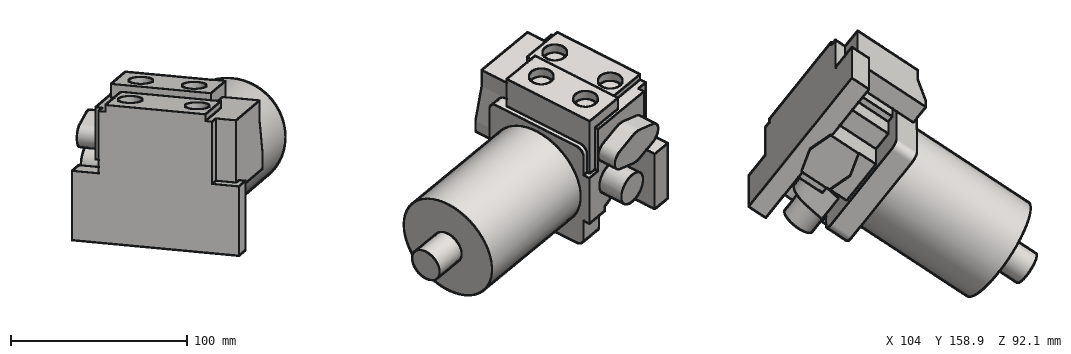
import cadquery as cq
import math


motor_radius = 32.0
motor_length = 81.5
shaft_radius = 10.0
shaft_length = 20.2

flange_half_width = 34.0
flange_half_height = 36.0
flange_thickness = 14.3
flange_corner_radius = 5.1

front_y = -57.2
plate_width = 100.0
plate_thickness = 12.1
plate_bottom = -30.0
plate_shoulder = 11.1

block_left = -38.2
block_right = 46.1
block_rear = -8.1
block_front = -50.4
block_bottom = 17.0
block_top = 48.0
right_block_bottom = 6.0

wedge_rear = -2.4
wedge_top = 36.0
wedge_shoulder = 14.0

rear_pad_left = -36.0
pad_width = 60.0
rear_pad_rear = -3.2
pad_split = -29.3
rear_pad_bottom = 5.0
rear_pad_top = 56.1
front_pad_top = 52.0

port_radius = 7.0
port_depth = 6.0
rear_port_spacing = 32.0
rear_port_y = -17.2
front_port_spacing = 40.0
front_port_y = -42.3

core_steps = [
    (30.0, 6.0, block_bottom),
    (26.0, -9.9, 6.0),
    (14.2, plate_bottom, -9.9),
]

foot_y = -36.3
foot_half_width = 14.2
foot_half_length = 14.2
foot_shoulder = 9.9
foot_drop = 1.0

lobe_y = -19.2
lobe_z = 5.0
lobe_radius = 15.0
lobe_inner_x = -22.0
lobe_foot_bottom = -17.0
lobe_corner_z = -13.7
pin_radius = 10.0
pin_end_x = -54.0

cover_y = -28.3
cover_z = 28.0
cover_middle_radius = 11.0
cover_end_radius = 7.0
cover_end_offset = 13.0
cover_end_x = -50.1


def box(x_range, y_range, z_range):
    """Box between the given limits on each axis."""
    sizes = [high - low for low, high in (x_range, y_range, z_range)]
    corner = (x_range[0], y_range[0], z_range[0])
    return cq.Workplane("XY").box(*sizes, centered=False).translate(corner)


def rod_y(radius, start, length):
    """Cylinder on the motor axis, running toward +Y."""
    return cq.Workplane("XZ", origin=(0, start, 0)).circle(radius).extrude(-length)


def side_plane(x):
    """Sketch plane whose local axes are Y and Z, extruding toward +X."""
    return cq.Workplane("YZ", origin=(x, 0, 0))


def make_motor():
    body = rod_y(motor_radius, 0, motor_length)
    return body.union(rod_y(shaft_radius, motor_length, shaft_length))


def make_flange():
    flange = box(
        (-flange_half_width, flange_half_width),
        (-flange_thickness, 0),
        (-flange_half_height, flange_half_height),
    )
    return flange.edges("|Y").fillet(flange_corner_radius)


def make_plate():
    plate = box(
        (-plate_width / 2, plate_width / 2),
        (front_y, front_y + plate_thickness),
        (plate_bottom, plate_shoulder),
    )
    neck = box(
        (-flange_half_width, flange_half_width),
        (front_y, front_y + plate_thickness),
        (plate_shoulder, block_top),
    )
    return plate.union(neck)


def make_block():
    block = box((block_left, block_right), (block_front, block_rear), (block_bottom, block_top))
    right_leg = box(
        (flange_half_width, block_right),
        (block_front, block_rear),
        (right_block_bottom, block_bottom),
    )
    wedge_outline = [
        (block_rear, right_block_bottom),
        (wedge_rear, right_block_bottom),
        (wedge_rear, wedge_shoulder),
        (block_rear, wedge_top),
    ]
    wedge_width = block_right - rear_pad_left - pad_width
    wedge = side_plane(block_right - wedge_width).polyline(wedge_outline).close().extrude(wedge_width)
    return block.union(right_leg).union(wedge)


def make_pads():
    rear_pad = box(
        (rear_pad_left, rear_pad_left + pad_width),
        (pad_split, rear_pad_rear),
        (rear_pad_bottom, rear_pad_top),
    )
    front_pad = box(
        (-pad_width / 2, pad_width / 2),
        (front_y, pad_split),
        (block_top, front_pad_top),
    )
    return rear_pad.union(front_pad)


def make_core():
    foot_outline = [
        (0, foot_half_length),
        (foot_half_width, foot_shoulder),
        (foot_half_width, -foot_shoulder),
        (0, -foot_half_length),
        (-foot_half_width, -foot_shoulder),
        (-foot_half_width, foot_shoulder),
    ]
    foot_plane = cq.Workplane("XY", origin=(0, foot_y, plate_bottom - foot_drop))
    core = foot_plane.polyline(foot_outline).close().extrude(foot_drop)
    for half_width, bottom, top in core_steps:
        core = core.union(box((-half_width, half_width), (front_y, 0), (bottom, top)))
    return core


def make_lobe():
    corner_dy = -flange_thickness - lobe_y
    corner_dz = lobe_corner_z - lobe_z
    corner_distance = math.hypot(corner_dy, corner_dz)
    tangent_angle = math.atan2(corner_dz, corner_dy) - math.acos(lobe_radius / corner_distance)
    tangent_point = (
        lobe_y + lobe_radius * math.cos(tangent_angle),
        lobe_z + lobe_radius * math.sin(tangent_angle),
    )
    top_y = lobe_y - math.sqrt(lobe_radius**2 - (block_bottom - lobe_z) ** 2)
    outline = (
        side_plane(block_left)
        .moveTo(0, block_bottom)
        .lineTo(top_y, block_bottom)
        .threePointArc((lobe_y - lobe_radius, lobe_z), tangent_point)
        .lineTo(-flange_thickness, lobe_corner_z)
        .lineTo(-flange_thickness, lobe_foot_bottom)
        .lineTo(0, lobe_foot_bottom)
        .close()
    )
    lobe = outline.extrude(lobe_inner_x - block_left)
    pin = side_plane(pin_end_x).center(lobe_y, lobe_z).circle(pin_radius).extrude(block_left - pin_end_x)
    return lobe.union(pin)


def make_cover():
    lean = math.asin((cover_middle_radius - cover_end_radius) / cover_end_offset)
    middle_y = cover_middle_radius * math.sin(lean)
    middle_z = cover_middle_radius * math.cos(lean)
    end_y = cover_end_offset + cover_end_radius * math.sin(lean)
    end_z = cover_end_radius * math.cos(lean)
    tip_y = cover_end_offset + cover_end_radius
    outline = (
        side_plane(cover_end_x)
        .center(cover_y, cover_z)
        .moveTo(-middle_y, middle_z)
        .threePointArc((0, cover_middle_radius), (middle_y, middle_z))
        .lineTo(end_y, end_z)
        .threePointArc((tip_y, 0), (end_y, -end_z))
        .lineTo(middle_y, -middle_z)
        .threePointArc((0, -cover_middle_radius), (-middle_y, -middle_z))
        .lineTo(-end_y, -end_z)
        .threePointArc((-tip_y, 0), (-end_y, end_z))
        .close()
    )
    return outline.extrude(block_left - cover_end_x)


def make_port_pair(center_x, spacing, y, pad_top):
    centers = [(center_x - spacing / 2, y), (center_x + spacing / 2, y)]
    pad_plane = cq.Workplane("XY", origin=(0, 0, pad_top))
    return pad_plane.pushPoints(centers).circle(port_radius).extrude(-port_depth)


result = make_motor()
for piece in (
    make_flange(),
    make_plate(),
    make_block(),
    make_pads(),
    make_core(),
    make_lobe(),
    make_cover(),
):
    result = result.union(piece)

rear_pad_center = rear_pad_left + pad_width / 2
result = result.cut(make_port_pair(rear_pad_center, rear_port_spacing, rear_port_y, rear_pad_top))
result = result.cut(make_port_pair(0, front_port_spacing, front_port_y, front_pad_top))